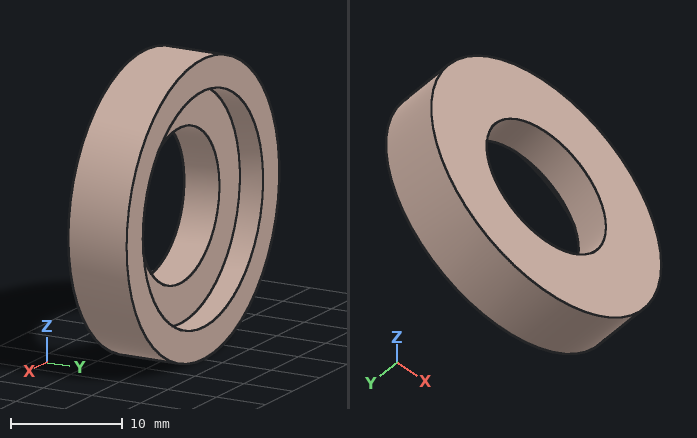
import cadquery as cq

outer_diameter = 28.0
bore_diameter = 14.5
thickness = 6.0
counterbore_diameter = 22.0
web_thickness = 3.6

body = (
    cq.Workplane("XZ", origin=(0, thickness / 2, 0))
    .circle(outer_diameter / 2)
    .circle(bore_diameter / 2)
    .extrude(thickness)
)

counterbore = (
    cq.Workplane("XZ", origin=(0, thickness / 2, 0))
    .circle(counterbore_diameter / 2)
    .extrude(thickness - web_thickness)
)

result = body.cut(counterbore)